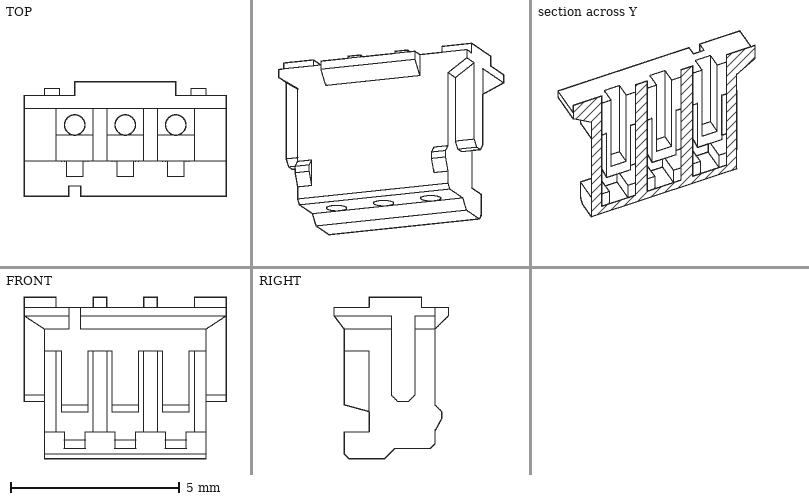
import cadquery as cq

WIDTH = 6.0
HEIGHT = 4.8
DEPTH = 3.4
POLE_COUNT = 3
PITCH = 1.5

RIM_FRONT = -DEPTH / 2
TAB_BACK = DEPTH / 2
RIM_OVERHANG = 0.3
TAB_OVERHANG = 0.4
BACK_WALL = 0.395
CAVITY_FRONT = -0.655
BODY_FRONT = RIM_FRONT + RIM_OVERHANG
BODY_BACK = TAB_BACK - TAB_OVERHANG
CAVITY_BACK = BODY_BACK - BACK_WALL

BODY_WIDTH = 4.8
BODY_TOP = 4.5
FOOT_STEP = 0.3
FOOT_BACK = -0.2
FOOT_CHAMFER = 0.145
REAR_CHAMFER = 0.145

RIM_THICKNESS = 0.25
RIM_TAPER = 0.395
TAB_WIDTH = 3.0
RIM_NOTCH_WIDTH = 0.35
RIM_BASE = BODY_TOP - RIM_THICKNESS
TAPER_BASE = RIM_BASE - RIM_TAPER

CAVITY_WIDTH = 1.1
CAVITY_FLOOR = 0.55
HOLE_DIAMETER = 0.6
HOLE_BACK_GAP = 0.185
HOLE_Y = CAVITY_BACK - HOLE_BACK_GAP - HOLE_DIAMETER / 2
RAMP_BACK = HOLE_Y - HOLE_DIAMETER / 2

WINDOW_BOTTOM = 0.8
WINDOW_TOP = 3.2
FINGER_WIDTH = 0.8
FINGER_FRONT_END = 1.6
FINGER_BACK_END = 1.4
GROOVE_WIDTH = 0.5
GROOVE_DEPTH = 0.46
GROOVE_FLOOR = 1.8
FOOT_NOTCH_WIDTH = 0.61
FOOT_NOTCH_FLOOR = 0.3

KEY_BACK = 0.7
KEY_DEPTH = 0.7
KEY_END = 1.7
KEY_CHAMFER = 0.2

BUMP_WIDTH = 0.45
BUMP_HEIGHT = 0.205
BUMP_TOP = 1.6
BUMP_FLAT = 0.2
BUMP_BOTTOM = 0.815

POLE_XS = [(i - (POLE_COUNT - 1) / 2) * PITCH for i in range(POLE_COUNT)]


def block(x_range, y_range, z_range):
    """Box given by its limits along each axis."""
    (x0, x1), (y0, y1), (z0, z1) = x_range, y_range, z_range
    return cq.Workplane("XY").box(x1 - x0, y1 - y0, z1 - z0, centered=False).translate((x0, y0, z0))


def centered_range(middle, width):
    return (middle - width / 2, middle + width / 2)


def side_profile(points, middle, width):
    """Prism along X from an outline of (y, z) points."""
    prism = cq.Workplane("YZ").polyline(points).close().extrude(width)
    return prism.translate((middle - width / 2, 0, 0))


def make_body():
    return side_profile(
        [
            (BODY_BACK, BODY_TOP),
            (BODY_FRONT, BODY_TOP),
            (BODY_FRONT, FOOT_CHAMFER),
            (BODY_FRONT + FOOT_CHAMFER, 0),
            (FOOT_BACK, 0),
            (FOOT_BACK + FOOT_STEP, FOOT_STEP),
            (BODY_BACK - REAR_CHAMFER, FOOT_STEP),
            (BODY_BACK, FOOT_STEP + REAR_CHAMFER),
        ],
        0,
        BODY_WIDTH,
    )


def make_rim():
    """Rim flush with the back of the body, tapering into it at the front and the sides."""
    rim_depth = BODY_BACK - RIM_FRONT
    body_depth = BODY_BACK - BODY_FRONT
    plate = block(centered_range(0, WIDTH), (RIM_FRONT, BODY_BACK), (RIM_BASE, BODY_TOP))
    taper = (
        cq.Workplane("XY", origin=(0, 0, TAPER_BASE))
        .center(0, BODY_BACK - body_depth / 2)
        .rect(BODY_WIDTH, body_depth)
        .workplane(offset=RIM_TAPER)
        .center(0, (body_depth - rim_depth) / 2)
        .rect(WIDTH, rim_depth)
        .loft(ruled=True)
    )
    notch = block(
        centered_range(POLE_XS[0], RIM_NOTCH_WIDTH), (RIM_FRONT, BODY_FRONT), (TAPER_BASE, BODY_TOP)
    )
    return plate.union(taper).cut(notch)


def make_latch_tab():
    return side_profile(
        [
            (BODY_BACK, BODY_TOP),
            (TAB_BACK, BODY_TOP),
            (TAB_BACK, RIM_BASE),
            (BODY_BACK, TAPER_BASE),
        ],
        0,
        TAB_WIDTH,
    )


def make_divider_top():
    """Raised strip that, once the cavities are cut, leaves the tops of the dividers and end walls."""
    return block(centered_range(0, WIDTH), (CAVITY_FRONT, CAVITY_BACK), (BODY_TOP, HEIGHT))


def make_side_keys():
    """Pair of keys on the sides, made as one bar through the body."""
    front = KEY_BACK - KEY_DEPTH
    return side_profile(
        [
            (KEY_BACK, BODY_TOP),
            (KEY_BACK, KEY_END + KEY_CHAMFER),
            (KEY_BACK - KEY_CHAMFER, KEY_END),
            (front + KEY_CHAMFER, KEY_END),
            (front, KEY_END + KEY_CHAMFER),
            (front, BODY_TOP),
        ],
        0,
        WIDTH,
    )


def make_latch_bump(side):
    crest = BODY_BACK + BUMP_HEIGHT
    crest_top = BUMP_TOP - BUMP_HEIGHT
    return side_profile(
        [
            (BODY_BACK, BUMP_TOP),
            (crest, crest_top),
            (crest, crest_top - BUMP_FLAT),
            (BODY_BACK, BUMP_BOTTOM),
        ],
        side * (BODY_WIDTH - BUMP_WIDTH) / 2,
        BUMP_WIDTH,
    )


def make_window():
    return block(
        centered_range(0, BODY_WIDTH), (BODY_FRONT, CAVITY_FRONT), (WINDOW_BOTTOM, WINDOW_TOP)
    )


def make_finger(x):
    return side_profile(
        [
            (BODY_FRONT, WINDOW_TOP),
            (BODY_FRONT, FINGER_FRONT_END),
            (CAVITY_FRONT, FINGER_BACK_END),
            (CAVITY_FRONT, WINDOW_TOP),
        ],
        x,
        FINGER_WIDTH,
    )


def make_cavity(x):
    """Contact cavity: flat floor with a wire hole, then a ramp down to the notch in the foot."""
    pocket = side_profile(
        [
            (CAVITY_BACK, HEIGHT),
            (CAVITY_BACK, CAVITY_FLOOR),
            (RAMP_BACK, CAVITY_FLOOR),
            (CAVITY_FRONT, FOOT_NOTCH_FLOOR),
            (CAVITY_FRONT, HEIGHT),
        ],
        x,
        CAVITY_WIDTH,
    )
    hole = cq.Workplane("XY").center(x, HOLE_Y).circle(HOLE_DIAMETER / 2).extrude(CAVITY_FLOOR)
    groove = block(
        centered_range(x, GROOVE_WIDTH),
        (CAVITY_FRONT - GROOVE_DEPTH, CAVITY_FRONT),
        (GROOVE_FLOOR, BODY_TOP),
    )
    foot_notch = block(
        centered_range(x, FOOT_NOTCH_WIDTH),
        (BODY_FRONT, CAVITY_FRONT),
        (FOOT_NOTCH_FLOOR, WINDOW_BOTTOM),
    )
    return pocket.union(hole).union(groove).union(foot_notch)


result = make_body().cut(make_window())
for pole_x in POLE_XS:
    result = result.union(make_finger(pole_x))
result = result.union(make_rim()).union(make_latch_tab())
result = result.union(make_divider_top()).union(make_side_keys())
for bump_side in (-1, 1):
    result = result.union(make_latch_bump(bump_side))
for pole_x in POLE_XS:
    result = result.cut(make_cavity(pole_x))